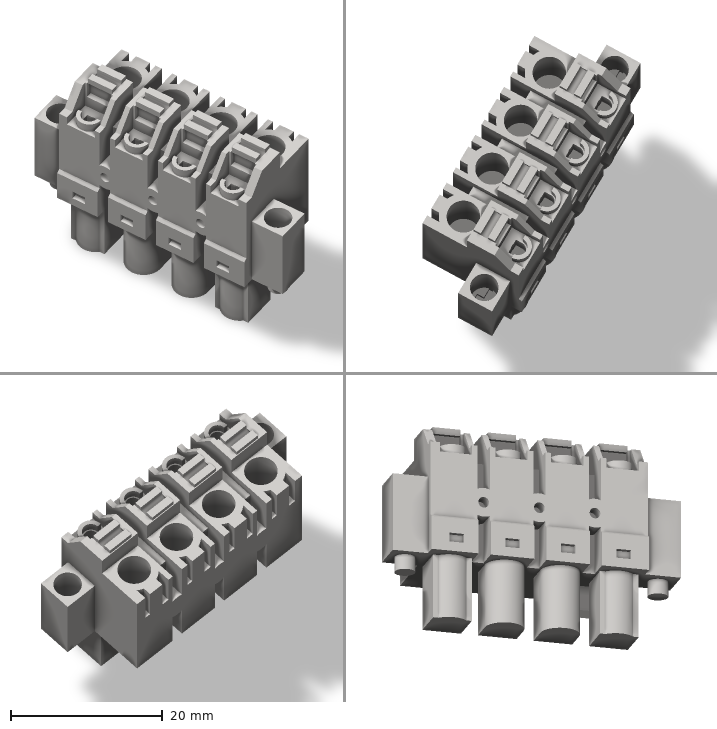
import cadquery as cq


overall_length = 39.55
pole_count = 4
pole_pitch = 7.65
row_center_x = -0.05
row_half_length = 14.9
body_depth = 14.6

shoulder_height = 15.22
top_height = 18.2
ridge_back_y = 7.85
ridge_front_y = 3.68
slope_foot_y = 1.25

lug_thickness = 0.47
lug_height = 5.0
lug_chamfer_height = 0.4
window_width = 1.98
window_height = 1.23
window_center_z = 1.9
window_depth = 0.7

gap_width = 1.65
web_front_y = 3.1
web_back_y = body_depth - web_front_y
web_height = 13.85
boss_radius = 2.0
boss_center_z = 7.4
boss_hole_diameter = 1.45
boss_hole_depth = 1.98

wire_hole_diameter = 4.43
wire_hole_y = 10.35
wire_hole_depth = 7.9
slot_wall_radius = 3.25
slot_depth = 4.75
left_slot_span = (-2.2, -1.1)
right_slot_span = (1.1, 1.98)

pocket_width = 4.43
pocket_back_y = 4.27
pocket_floor_z = 13.9
collar_radius = 1.78
collar_inner_radius = 1.2
collar_center_y = 2.0
pit_width = 2.0
pit_back_y = 2.95
pit_depth = 2.37

lever_width = 3.85
lever_bottom_z = 15.7
lever_top_z = 18.9
lever_face_y = 5.1
lever_lip_y = 4.5
lever_lip_z = 18.0
lever_back_y = 7.75
groove_front_y = 5.55
groove_back_y = 6.65
groove_wall_height = 0.5
groove_sag = 0.55

sleeve_length = 8.78
sleeve_width = 5.3
sleeve_front_y = 0.85
sleeve_back_y = 6.8
square_front_y = 1.62

latch_width = 2.37
latch_root_back_y = 10.3
latch_root_front_y = 8.03
latch_neck_y = 8.45
latch_neck_top_z = -1.03
latch_neck_bottom_z = -2.9
latch_back_corner = (9.65, -2.95)
latch_tip = (8.22, -4.4)
latch_barb = (7.85, -3.45)
latch_root_arc_middle = (8.35, -0.47)

flange_height = 10.7
flange_front_y = 1.3
flange_back_y = 6.45
screw_y = 3.85
screw_offset_x = 17.35
screw_head_diameter = 3.75
screw_head_top_z = 4.75
screw_head_height = 1.98
screw_shank_diameter = 2.75
screw_tip_z = -2.05
drive_depth = 0.6
drive_slot_width = 0.6
drive_cross_width = 0.87
drive_cross_length = 2.65

pole_centers = [row_center_x + (i - (pole_count - 1) / 2) * pole_pitch for i in range(pole_count)]
gap_centers = [x + pole_pitch / 2 for x in pole_centers[:-1]]
row_left_x = row_center_x - row_half_length
row_right_x = row_center_x + row_half_length
screw_centers = [row_center_x - screw_offset_x, row_center_x + screw_offset_x]


def box(x0, x1, y0, y1, z0, z1):
    return cq.Workplane("XY").box(x1 - x0, y1 - y0, z1 - z0, centered=False).translate((x0, y0, z0))


def centered_box(center_x, width, y0, y1, z0, z1):
    return box(center_x - width / 2, center_x + width / 2, y0, y1, z0, z1)


def upright_cylinder(x, y, diameter, z0, z1):
    return cq.Workplane("XY", origin=(x, y, z0)).circle(diameter / 2).extrude(z1 - z0)


def cross_cylinder(x, z, diameter, depth):
    """Cylinder along Y that starts at the front wall."""
    return cq.Workplane("XZ", origin=(x, 0, z)).circle(diameter / 2).extrude(-depth)


def row_body():
    outline = [
        (0, 0),
        (body_depth, 0),
        (body_depth, shoulder_height),
        (ridge_back_y, shoulder_height),
        (ridge_back_y, top_height),
        (ridge_front_y, top_height),
        (slope_foot_y, shoulder_height),
        (0, shoulder_height),
        (0, lug_height),
        (-lug_thickness, lug_height - lug_chamfer_height),
        (-lug_thickness, 0),
    ]
    return cq.Workplane("YZ", origin=(row_left_x, 0, 0)).polyline(outline).close().extrude(2 * row_half_length)


def gap_cut(x):
    """Everything removed between two poles: all but the web and the drilled boss."""
    gap = centered_box(x, gap_width, -lug_thickness, body_depth, 0, top_height)
    web = centered_box(x, gap_width, web_front_y, web_back_y, 0, web_height)
    boss = cross_cylinder(x, boss_center_z, 2 * boss_radius, body_depth)
    boss_hole = cross_cylinder(x, boss_center_z, boss_hole_diameter, boss_hole_depth)
    return gap.cut(web).cut(boss).union(boss_hole)


def lug_window(x):
    z0 = window_center_z - window_height / 2
    return centered_box(x, window_width, -lug_thickness, window_depth - lug_thickness, z0, z0 + window_height)


def wire_hole(x):
    return upright_cylinder(x, wire_hole_y, wire_hole_diameter, shoulder_height - wire_hole_depth, shoulder_height)


def marking_slots(x):
    """Two slots in the back wall that end on a round wall around the wire hole."""
    slot_floor_z = shoulder_height - slot_depth
    slots = cq.Workplane("XY")
    for left, right in (left_slot_span, right_slot_span):
        slots = slots.union(box(x + left, x + right, wire_hole_y, body_depth, slot_floor_z, shoulder_height))
    return slots.cut(upright_cylinder(x, wire_hole_y, 2 * slot_wall_radius, slot_floor_z, shoulder_height))


def test_pocket(x):
    return centered_box(x, pocket_width, 0, pocket_back_y, pocket_floor_z, top_height)


def collar(x):
    """Half ring on the pocket floor, open towards the back."""
    ring = upright_cylinder(x, collar_center_y, 2 * collar_radius, pocket_floor_z, shoulder_height)
    ring = ring.cut(upright_cylinder(x, collar_center_y, 2 * collar_inner_radius, pocket_floor_z, shoulder_height))
    front_half = centered_box(x, 2 * collar_radius, 0, collar_center_y, pocket_floor_z, shoulder_height)
    return ring.intersect(front_half)


def collar_pit(x):
    pit_floor_z = pocket_floor_z - pit_depth
    pit = centered_box(x, pit_width, collar_center_y, pit_back_y, pit_floor_z, pocket_floor_z)
    return pit.union(upright_cylinder(x, collar_center_y, pit_width, pit_floor_z, pocket_floor_z))


def lever_seat(x):
    return centered_box(x, lever_width, pocket_back_y, lever_back_y, lever_bottom_z, top_height)


def sleeve(x, square_corners):
    """Plug sleeve with a round front; the outer ones also have square front corners."""
    radius = sleeve_width / 2
    round_center_y = sleeve_front_y + radius
    flat_front_y = square_front_y if square_corners else round_center_y
    block = centered_box(x, sleeve_width, flat_front_y, sleeve_back_y, -sleeve_length, 0)
    return block.union(upright_cylinder(x, round_center_y, sleeve_width, -sleeve_length, 0))


def latch(x0):
    """Hook below the housing, hollowed at the root on its front side."""
    return (
        cq.Workplane("YZ", origin=(x0, 0, 0))
        .moveTo(latch_root_back_y, 0)
        .lineTo(*latch_back_corner)
        .lineTo(*latch_tip)
        .lineTo(*latch_barb)
        .lineTo(latch_neck_y, latch_neck_bottom_z)
        .lineTo(latch_neck_y, latch_neck_top_z)
        .threePointArc(latch_root_arc_middle, (latch_root_front_y, 0))
        .close()
        .extrude(latch_width)
    )


def screw_blank(x):
    """Screw head and shank, without the drive."""
    head_bottom_z = screw_head_top_z - screw_head_height
    head = upright_cylinder(x, screw_y, screw_head_diameter, head_bottom_z, screw_head_top_z)
    return head.union(upright_cylinder(x, screw_y, screw_shank_diameter, screw_tip_z, head_bottom_z))


def make_housing():
    housing = row_body()
    housing = housing.union(box(-overall_length / 2, row_left_x, flange_front_y, flange_back_y, 0, flange_height))
    housing = housing.union(box(row_right_x, overall_length / 2, flange_front_y, flange_back_y, 0, flange_height))
    for x in gap_centers:
        housing = housing.cut(gap_cut(x))
    for i, x in enumerate(pole_centers):
        housing = housing.cut(lug_window(x)).cut(wire_hole(x)).cut(marking_slots(x))
        housing = housing.cut(test_pocket(x)).cut(collar_pit(x)).cut(lever_seat(x))
        housing = housing.union(collar(x))
        housing = housing.union(sleeve(x, square_corners=i in (0, pole_count - 1)))
    housing = housing.union(latch(gap_centers[0] - latch_width))
    housing = housing.union(latch(gap_centers[-1]))
    for x in screw_centers:
        access_hole = upright_cylinder(x, screw_y, screw_head_diameter, screw_head_top_z, flange_height)
        housing = housing.cut(access_hole).cut(screw_blank(x))
    return housing


def make_lever(x):
    """Lever with a front lip and a rounded finger groove across its top."""
    groove_mid_y = (groove_front_y + groove_back_y) / 2
    groove_edge_z = lever_top_z - groove_wall_height
    return (
        cq.Workplane("YZ", origin=(x - lever_width / 2, 0, 0))
        .moveTo(lever_face_y, lever_bottom_z)
        .lineTo(lever_back_y, lever_bottom_z)
        .lineTo(lever_back_y, lever_top_z)
        .lineTo(groove_back_y, lever_top_z)
        .lineTo(groove_back_y, groove_edge_z)
        .threePointArc((groove_mid_y, groove_edge_z - groove_sag), (groove_front_y, groove_edge_z))
        .lineTo(groove_front_y, lever_top_z)
        .lineTo(lever_lip_y, lever_top_z)
        .lineTo(lever_lip_y, lever_lip_z)
        .lineTo(lever_face_y, lever_lip_z)
        .close()
        .extrude(lever_width)
    )


def make_screw(x):
    drive_bottom_z = screw_head_top_z - drive_depth
    half_cross = drive_cross_length / 2
    slot = box(
        x - screw_head_diameter / 2, x + screw_head_diameter / 2,
        screw_y - drive_slot_width / 2, screw_y + drive_slot_width / 2,
        drive_bottom_z, screw_head_top_z,
    )
    cross = centered_box(
        x, drive_cross_width, screw_y - half_cross, screw_y + half_cross, drive_bottom_z, screw_head_top_z
    )
    return screw_blank(x).cut(slot).cut(cross)


housing = make_housing()
levers = [make_lever(x) for x in pole_centers]
screws = [make_screw(x) for x in screw_centers]

result = cq.Compound.makeCompound(
    [housing.val(), *[lever.val() for lever in levers], *[screw.val() for screw in screws]]
)